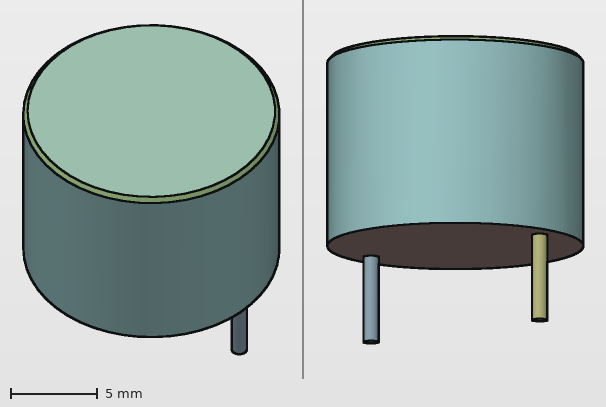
import cadquery as cq

total_height = 16.0
body_diameter = 14.8
top_chamfer = 0.25

pin_diameter = 0.9
pin_spacing = 12.0
pin_length = 5.0

body_height = total_height - pin_length


def make_body():
    """Round housing standing on Z = 0, with a chamfered top rim."""
    body = cq.Workplane("XY").circle(body_diameter / 2).extrude(body_height)
    return body.faces(">Z").edges().chamfer(top_chamfer)


def make_pins():
    """Two straight round pins along X, hanging from the housing underside."""
    pin_centers = [(-pin_spacing / 2, 0), (pin_spacing / 2, 0)]
    return cq.Workplane("XY").pushPoints(pin_centers).circle(pin_diameter / 2).extrude(-pin_length)


result = make_body().union(make_pins())